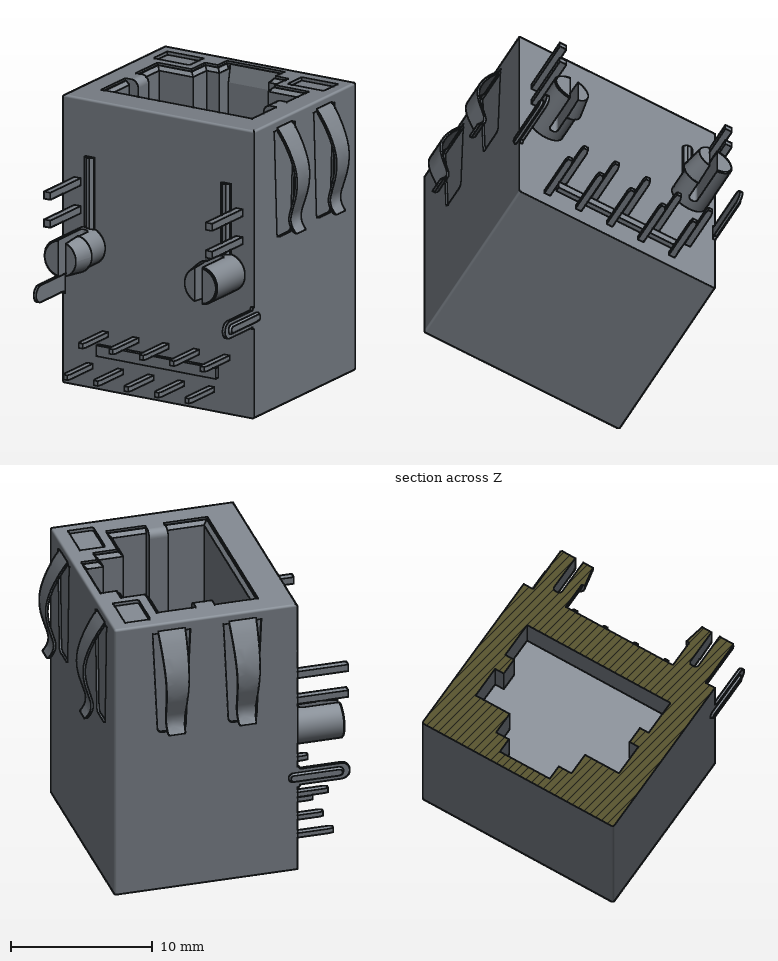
import cadquery as cq


WIDTH = 15.98
DEPTH = 13.48
HEIGHT = 21.3
HALF_WIDTH = WIDTH / 2
SHEET = 0.17
EDGE_RADIUS = 0.17

PORT_DEPTH = 12.78
PORT_BOTTOM = 2.75
PORT_STEPS = [(5.96, 9.52), (3.13, 11.3), (2.07, 12.5)]
PORT_CHAMFER = 0.28
SHIELD_GAP = 0.06
LATCH_RAMP_DEPTH = 1.28
RAIL_HALF_GAP = 5.25
RAIL_Y = (5.6, 6.99)
RAIL_RADIUS = 0.55

WINDOW_SIZE = (3.02, 1.87)
WINDOW_CENTER = (5.6, 11.5)
WINDOW_DEPTH = 0.25
WINDOW_RADIUS = 0.17

CLIP_THICKNESS = 0.17
CLIP_CURVE = [(0.13, 20.79), (-0.98, 18.95), (-1.47, 17.17), (-1.09, 14.97), (-0.85, 14.05), (-1.3, 13.01)]
CLIP_REACH = (-2.13, 0.43)
CLIP_TOP_Z = 20.79
CLIP_END_Z = 12.97
CLIP_TOP_WIDTH = 2.0
CLIP_END_WIDTH = 1.25
CLIP_CORNER = 0.17
SLOT_TOP_Z = 20.55
SLOT_END_Z = 12.59
SLOT_TOP_WIDTH = 2.8
SLOT_END_WIDTH = 2.07
SLOT_CORNER = 0.36
SIDE_CLIP_Y = (4.05, 9.27)
BACK_CLIP_X = 4.65

PIN_SPAN = 11.42
PIN_COUNT = 10
PIN_PITCH = PIN_SPAN / (PIN_COUNT - 1)
PIN_ROW_Z = (1.62, 4.17)
PIN_WIDTH = 0.47
PIN_HEIGHT = 0.36
PIN_LENGTH = 3.25
PIN_TIP_LENGTH = 0.3
PIN_TIP_WIDTH = 0.32

LED_PIN = 0.53
LED_PIN_LENGTH = 4.03
LED_PIN_X = 6.75
LED_PIN_Z = (13.04, 15.1)

BAR_WIDTH = 9.97
BAR_Z = (2.53, 3.32)
STANDOFF = 0.35

RIB_BASE_WIDTH = 0.77
RIB_CREST_WIDTH = 0.28
RIB_SHOULDER = 0.17
RIB_TOP_Z = 17.08

POST_X = 5.84
POST_Z = 10.5
SPLIT_X = 5.69
POST_RADIUS = 1.38
POST_LENGTH = 3.73
POST_CHAMFER = 0.09
POST_SLOT = 0.64
POST_SLOT_FLOOR = 0.7
POST_SLOT_RADIUS = 0.23
BARB_START = 2.13
BARB_OFFSET = 0.23

TAB_Z = 7.45
TAB_THICKNESS = 0.21
TAB_HEIGHT = 1.25
TAB_LENGTH = 3.85
TAB_ROOT_RADIUS = 0.2
BEAD_Y = (-3.39, 0.65)
BEAD_HEIGHT = 0.72
BEAD_RISE = 0.18
BEAD_TAPER = 35.0


def box(x, y, z):
    """Box given by its (low, high) range along each axis."""
    size = [high - low for low, high in (x, y, z)]
    return cq.Workplane("XY").box(*size, centered=False).translate((x[0], y[0], z[0]))


def board_sketch(out=0.0):
    """Plane parallel to the board side, its normal pointing out along -Y."""
    return cq.Workplane("XZ", origin=(0, -out, 0))


def mirrored(shape):
    """The shape together with its mirror image across the middle plane x = 0."""
    return shape.union(shape.mirror("YZ"))


def make_body():
    body = box((-HALF_WIDTH, HALF_WIDTH), (0, DEPTH), (0, HEIGHT))
    return body.edges(">Z or >Y or |Y").fillet(EDGE_RADIUS)


def port_outline(z, grow):
    """Stepped opening at height z, every wall moved outward by grow."""
    right = []
    floor = PORT_BOTTOM - grow
    for half_width, top in PORT_STEPS:
        right.append((half_width + grow, floor))
        right.append((half_width + grow, top + grow))
        floor = top + grow
    left = [(-x, y) for x, y in reversed(right)]
    return cq.Workplane("XY", origin=(0, 0, z)).polyline(right + left).close()


def make_port():
    mouth_z = HEIGHT - SHEET
    chamfer_end_z = mouth_z - PORT_CHAMFER
    floor_z = HEIGHT - PORT_DEPTH
    port = port_outline(floor_z, 0).extrude(mouth_z - floor_z)
    mouth_rims = [port_outline(chamfer_end_z, 0).val(), port_outline(mouth_z, PORT_CHAMFER).val()]
    port = port.union(cq.Workplane(cq.Solid.makeLoft(mouth_rims, True)))
    port = port.union(port_outline(mouth_z, PORT_CHAMFER + SHIELD_GAP).extrude(SHEET))

    latch_half_width, latch_top = PORT_STEPS[-1]
    ramp = (
        cq.Workplane("YZ")
        .polyline([(latch_top, mouth_z), (latch_top + PORT_CHAMFER, mouth_z),
                   (latch_top, mouth_z - LATCH_RAMP_DEPTH)])
        .close()
        .extrude(latch_half_width, both=True)
    )
    rail = box((-PORT_STEPS[0][0] - PORT_CHAMFER - SHIELD_GAP, -RAIL_HALF_GAP), RAIL_Y,
               (floor_z, HEIGHT))
    rail = rail.edges(">X and >Z").fillet(RAIL_RADIUS)
    return port.union(ramp).cut(mirrored(rail))


def make_windows():
    window = (
        cq.Workplane("XY", origin=(*WINDOW_CENTER, HEIGHT))
        .rect(*WINDOW_SIZE)
        .extrude(-WINDOW_DEPTH)
        .edges("|Z and <Y")
        .fillet(WINDOW_RADIUS)
    )
    return mirrored(window)


def tapered_plate(top_z, top_width, end_z, end_width, corner, x_range):
    """Plate facing X that narrows downward and has rounded lower corners."""
    outline = [(-top_width / 2, top_z), (top_width / 2, top_z),
               (end_width / 2, end_z), (-end_width / 2, end_z)]
    plate = cq.Workplane("YZ", origin=(x_range[0], 0, 0)).polyline(outline).close()
    return plate.extrude(x_range[1] - x_range[0]).edges("|X and <Z").fillet(corner)


def make_clip():
    """Spring strip standing off a wall at x = 0 toward -X."""
    outer = [(x - CLIP_THICKNESS / 2, z) for x, z in CLIP_CURVE]
    inner = [(x + CLIP_THICKNESS / 2, z) for x, z in reversed(CLIP_CURVE)]
    strip = (
        cq.Workplane("XZ", origin=(0, CLIP_TOP_WIDTH / 2, 0))
        .moveTo(*outer[0])
        .spline(outer[1:], includeCurrent=True)
        .lineTo(*inner[0])
        .spline(inner[1:], includeCurrent=True)
        .close()
        .extrude(CLIP_TOP_WIDTH)
    )
    taper = tapered_plate(CLIP_TOP_Z, CLIP_TOP_WIDTH, CLIP_END_Z, CLIP_END_WIDTH, CLIP_CORNER,
                          CLIP_REACH)
    return strip.intersect(taper)


def make_clip_slot():
    """Shallow relief in a wall at x = 0 around a spring clip."""
    return tapered_plate(SLOT_TOP_Z, SLOT_TOP_WIDTH, SLOT_END_Z, SLOT_END_WIDTH, SLOT_CORNER,
                         (0, SHEET))


def at_clip_places(shape):
    """Copies of a clip-local shape on both side walls and on the back wall."""
    left = [shape.translate((-HALF_WIDTH, y, 0)) for y in SIDE_CLIP_Y]
    turned = shape.rotate((0, 0, 0), (0, 0, 1), -90)
    back = turned.translate((-BACK_CLIP_X, DEPTH, 0))
    copies = mirrored(back)
    for side in left:
        copies = copies.union(mirrored(side))
    return copies


def make_pin(x, z):
    half = PIN_WIDTH / 2
    half_tip = PIN_TIP_WIDTH / 2
    shank_end = PIN_TIP_LENGTH - PIN_LENGTH
    outline = [(x - half, 0), (x - half, shank_end), (x - half_tip, -PIN_LENGTH),
               (x + half_tip, -PIN_LENGTH), (x + half, shank_end), (x + half, 0)]
    pin = cq.Workplane("XY", origin=(0, 0, z - PIN_HEIGHT / 2)).polyline(outline).close()
    return pin.extrude(PIN_HEIGHT)


def make_led_pins():
    pins = board_sketch().pushPoints([(LED_PIN_X, z) for z in LED_PIN_Z])
    return mirrored(pins.rect(LED_PIN, LED_PIN).extrude(LED_PIN_LENGTH))


def make_rib():
    """Standoff rib with a bevelled crest, running up from the left post."""
    half = RIB_BASE_WIDTH / 2
    half_crest = RIB_CREST_WIDTH / 2
    outline = [(-half, 0), (-half, -RIB_SHOULDER), (-half_crest, -STANDOFF),
               (half_crest, -STANDOFF), (half, -RIB_SHOULDER), (half, 0)]
    rib = cq.Workplane("XY", origin=(-SPLIT_X, 0, POST_Z)).polyline(outline).close()
    return rib.extrude(RIB_TOP_Z - POST_Z)


def make_post():
    """Left split snap post with a barb on its half nearer the middle."""
    post = board_sketch().center(-POST_X, POST_Z).circle(POST_RADIUS).extrude(POST_LENGTH)
    post = post.faces("<Y").chamfer(POST_CHAMFER)
    barb = (
        board_sketch(BARB_START)
        .center(-POST_X + BARB_OFFSET, POST_Z)
        .circle(POST_RADIUS)
        .workplane(offset=POST_LENGTH - BARB_START)
        .center(-BARB_OFFSET, 0)
        .circle(POST_RADIUS - POST_CHAMFER)
        .loft(combine=True)
    )
    barb_half = box((-SPLIT_X, 0), (-POST_LENGTH, -BARB_START), (0, HEIGHT))
    slot = box((-SPLIT_X - POST_SLOT / 2, -SPLIT_X + POST_SLOT / 2), (-POST_LENGTH, -POST_SLOT_FLOOR),
               (POST_Z - POST_RADIUS, POST_Z + POST_RADIUS))
    slot = slot.edges("|Z and >Y").fillet(POST_SLOT_RADIUS)
    return post.cut(barb_half).union(barb.intersect(barb_half)).cut(slot)


def make_ground_tab():
    """Left shield tab with a rounded end, flared root and raised bead."""
    half = TAB_HEIGHT / 2
    root = half + TAB_ROOT_RADIUS
    straight_end = half - TAB_LENGTH
    plane = cq.Workplane("YZ", origin=(-HALF_WIDTH, 0, TAB_Z))
    tab = (
        plane.moveTo(0, root)
        .radiusArc((-TAB_ROOT_RADIUS, half), -TAB_ROOT_RADIUS)
        .lineTo(straight_end, half)
        .threePointArc((-TAB_LENGTH, 0), (straight_end, -half))
        .lineTo(-TAB_ROOT_RADIUS, -half)
        .radiusArc((0, -root), -TAB_ROOT_RADIUS)
        .lineTo(TAB_THICKNESS, -root)
        .lineTo(TAB_THICKNESS, root)
        .close()
        .extrude(TAB_THICKNESS)
    )
    bead = (
        plane.center(sum(BEAD_Y) / 2, 0)
        .slot2D(BEAD_Y[1] - BEAD_Y[0], BEAD_HEIGHT)
        .extrude(-BEAD_RISE, taper=BEAD_TAPER)
    )
    return tab.union(bead)


def make_board_side():
    half_bar = BAR_WIDTH / 2
    features = box((-half_bar, half_bar), (-STANDOFF, 0), BAR_Z)
    for index in range(PIN_COUNT):
        x = (index - (PIN_COUNT - 1) / 2) * PIN_PITCH
        features = features.union(make_pin(x, PIN_ROW_Z[index % 2]))
    features = features.union(make_led_pins())
    for left_feature in (make_rib(), make_post(), make_ground_tab()):
        features = features.union(mirrored(left_feature))
    return features


result = (
    make_body()
    .cut(make_port())
    .cut(make_windows())
    .cut(at_clip_places(make_clip_slot()))
    .union(at_clip_places(make_clip()))
    .union(make_board_side())
)